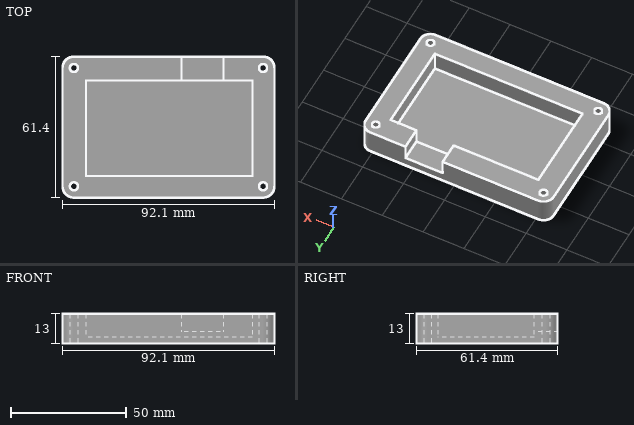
import cadquery as cq

LENGTH = 92.1
WIDTH = 61.35
HEIGHT = 13.0
CORNER_RADIUS = 5.0

SCREW_HOLE_DIAMETER = 3.4

POCKET_LENGTH = 72.3
POCKET_WIDTH = 41.55
POCKET_LEFT_WALL = 10.3
POCKET_BACK_WALL = 10.3
POCKET_DEPTH = 10.2

NOTCH_LENGTH = 18.2
NOTCH_LEFT_OFFSET = 51.8
NOTCH_DEPTH = 7.7

LEFT_SIDE = -LENGTH / 2
BACK_SIDE = WIDTH / 2


def make_block():
    """Rectangular block with rounded vertical corners."""
    block = cq.Workplane("XY").box(LENGTH, WIDTH, HEIGHT, centered=(True, True, False))
    return block.edges("|Z").fillet(CORNER_RADIUS)


def make_top_cut(left, back, length, width, depth):
    """Box that sinks from the top face, placed by its left and back sides."""
    corner = (left, back - width, HEIGHT - depth)
    return cq.Workplane("XY", origin=corner).box(length, width, depth, centered=False)


def make_screw_holes():
    """Four through holes on the corner centres."""
    spacing_x = LENGTH - 2 * CORNER_RADIUS
    spacing_y = WIDTH - 2 * CORNER_RADIUS
    centres = cq.Workplane("XY").rect(spacing_x, spacing_y, forConstruction=True).vertices()
    return centres.circle(SCREW_HOLE_DIAMETER / 2).extrude(HEIGHT)


def make_housing():
    """Open tray with a notched back wall and corner screw holes."""
    pocket = make_top_cut(
        LEFT_SIDE + POCKET_LEFT_WALL,
        BACK_SIDE - POCKET_BACK_WALL,
        POCKET_LENGTH,
        POCKET_WIDTH,
        POCKET_DEPTH,
    )
    notch = make_top_cut(
        LEFT_SIDE + NOTCH_LEFT_OFFSET,
        BACK_SIDE,
        NOTCH_LENGTH,
        POCKET_BACK_WALL,
        NOTCH_DEPTH,
    )
    return make_block().cut(pocket).cut(notch).cut(make_screw_holes())


housing = make_housing().solids()

result = cq.Compound.makeCompound([housing.val()])